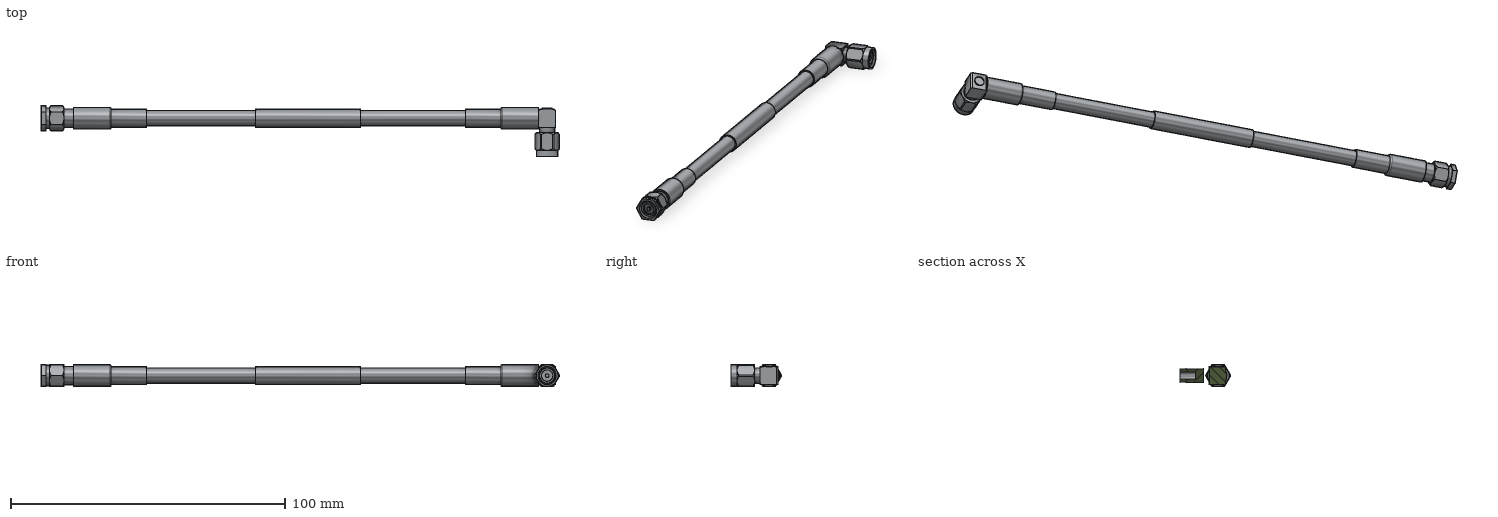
import cadquery as cq
import math

total_length = 188.9

nut_flats = 8.0
nut_corners = nut_flats / math.cos(math.pi / 6)
nut_chamfer = 0.5
nut_bore_diameter = 6.6
nut_bore_depth = 5.7

shell_diameter = 5.5
shell_recess = 0.5
dielectric_diameter = 4.2
dielectric_recess = 1.5
pin_diameter = 1.3

flange_length = 1.7
groove_end = 3.0
groove_diameter = 7.5
straight_nut_length = 8.3
straight_neck_diameter = 6.8
straight_neck_end = 11.7

elbow_nut_diameter = 8.9
elbow_x = total_length - elbow_nut_diameter / 2
elbow_end_y = -14.0
elbow_nut_length = 8.7
elbow_collar_length = 2.3
elbow_neck_diameter = 5.7
block_length = 6.2
block_width = 6.6
block_chamfer = 0.5
cap_diameter = 3.5
cap_height = 0.4

wide_diameter = 8.0
narrow_diameter = 6.6
wide_length = 13.8
sleeve_length = 26.6
shoulder_radius = 0.5
left_sleeve_x = straight_neck_end
right_sleeve_x = elbow_x - block_length / 2

tail_diameter = 6.5
tail_length = 12.0

cable_diameter = 5.7
marker_diameter = 6.6
marker_start = 78.2
marker_length = 38.2


def rod(start, end, diameter):
    """Cylinder along X between two x positions."""
    return cq.Workplane("YZ", origin=(start, 0, 0)).circle(diameter / 2).extrude(end - start)


def hexagon(start, end):
    """Hexagonal bar along X between two x positions."""
    return cq.Workplane("YZ", origin=(start, 0, 0)).polygon(6, nut_corners).extrude(end - start)


def turned_hexagon(start, end, diameter):
    """Hexagonal bar whose corners are turned to a diameter and coned down to the flats at both ends."""
    flat_radius = nut_flats / 2
    outline = [
        (start, 0),
        (start, flat_radius),
        (start + nut_chamfer, diameter / 2),
        (end - nut_chamfer, diameter / 2),
        (end, flat_radius),
        (end, 0),
    ]
    turned = cq.Workplane("XY").polyline(outline).close().revolve(360, (0, 0, 0), (1, 0, 0))
    return hexagon(start, end).intersect(turned)


def connector_core():
    """Shell, dielectric and pin along X, mating toward -X from the plane x = 0."""
    shell = rod(shell_recess, nut_bore_depth, shell_diameter)
    socket = rod(shell_recess, dielectric_recess, dielectric_diameter)
    pin = rod(shell_recess, nut_bore_depth, pin_diameter)
    return shell.cut(socket).union(pin)


def turn_to_elbow(shape):
    """Move a shape built along X, with its mating end at x = 0, to the elbow so that it mates toward -Y."""
    return shape.rotate((0, 0, 0), (0, 0, 1), 90).translate((elbow_x, elbow_end_y, 0))


def make_straight_connector():
    """Grooved hexagonal head with a neck and a tail."""
    head = hexagon(0, flange_length)
    head = head.union(rod(flange_length, groove_end, groove_diameter))
    head = head.union(turned_hexagon(groove_end, straight_nut_length, nut_corners))
    head = head.cut(rod(0, nut_bore_depth, nut_bore_diameter))
    neck = rod(nut_bore_depth, straight_neck_end, straight_neck_diameter)
    tail = rod(straight_neck_end, left_sleeve_x + tail_length, tail_diameter)
    return head.union(neck).union(connector_core()).union(tail)


def make_elbow_connector():
    """Block with a rear cap, a tail toward -X and a neck with the connector core toward -Y."""
    block = cq.Workplane("XY").box(block_length, block_width, block_width)
    block = block.edges("|Z and >Y").chamfer(block_chamfer)
    block = block.faces(">Y").workplane().circle(cap_diameter / 2).extrude(cap_height)
    block = block.translate((elbow_x, 0, 0))
    neck = rod(nut_bore_depth, -elbow_end_y, elbow_neck_diameter)
    plug = turn_to_elbow(neck.union(connector_core()))
    tail = rod(right_sleeve_x - tail_length, elbow_x, tail_diameter)
    return block.union(plug).union(tail)


def make_elbow_nut():
    """Coupling nut with a round collar at its mating end."""
    collar = rod(0, elbow_collar_length, nut_flats)
    nut = collar.union(turned_hexagon(elbow_collar_length, elbow_nut_length, elbow_nut_diameter))
    nut = nut.cut(rod(0, nut_bore_depth, nut_bore_diameter))
    nut = nut.cut(rod(nut_bore_depth, elbow_nut_length, elbow_neck_diameter))
    return turn_to_elbow(nut)


def make_sleeve():
    """Stepped sleeve along X, with its wide end at x = 0."""
    wide = rod(0, wide_length, wide_diameter).faces(">X").edges().fillet(shoulder_radius)
    sleeve = wide.union(rod(0, sleeve_length, narrow_diameter))
    sleeve = sleeve.cut(rod(0, tail_length, tail_diameter))
    return sleeve.cut(rod(tail_length, sleeve_length, cable_diameter))


def make_cable():
    """Cable reaching from one connector tail to the other."""
    return rod(left_sleeve_x + tail_length, right_sleeve_x - tail_length, cable_diameter)


def make_marker():
    """Marker tube around the middle of the cable."""
    marker_end = marker_start + marker_length
    tube = rod(marker_start, marker_end, marker_diameter)
    return tube.cut(rod(marker_start, marker_end, cable_diameter))


straight_connector = make_straight_connector()
elbow_connector = make_elbow_connector()
elbow_nut = make_elbow_nut()
cable = make_cable()
marker = make_marker()

sleeves = []
for wide_end_x, turn in [(left_sleeve_x, 0), (right_sleeve_x, 180)]:
    sleeve = make_sleeve().rotate((0, 0, 0), (0, 0, 1), turn).translate((wide_end_x, 0, 0))
    sleeves.append(sleeve.val())

result = cq.Compound.makeCompound(
    [
        straight_connector.val(),
        elbow_connector.val(),
        elbow_nut.val(),
        cable.val(),
        marker.val(),
        *sleeves,
    ]
)